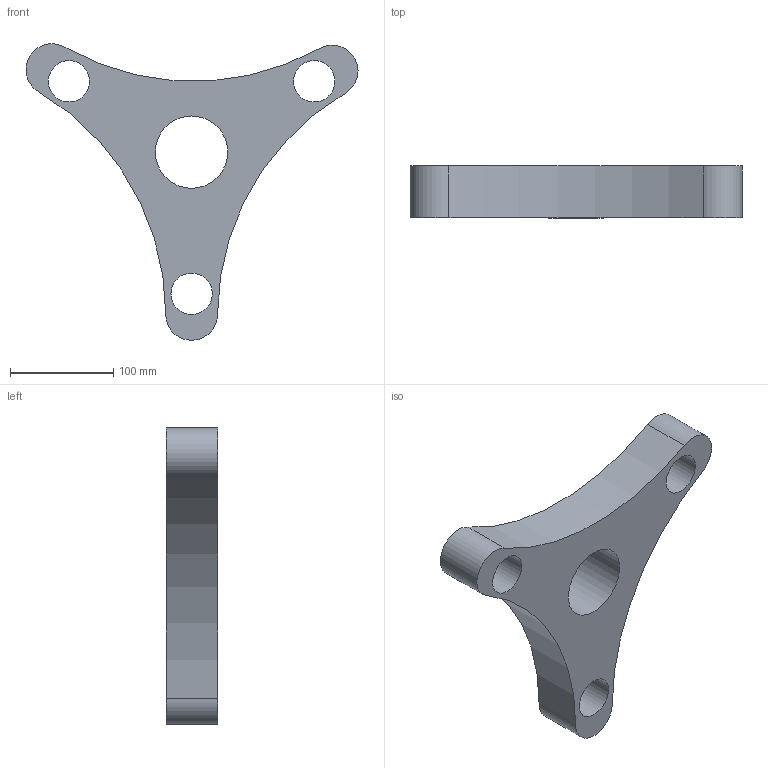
import cadquery as cq
import math

THICKNESS = 50.0
END_RADIUS = 25.0
END_CENTER_DISTANCE = 157.0
HUB_HOLE_DIAMETER = 70.0
ARM_HOLE_DIAMETER = 40.0
HOLE_INSET = 20.0
SIDE_RADIUS = 250.0
LEFT_ARM_TILT = 0.57

RIGHT_ANGLE = 30.0
LEFT_ANGLE = 150.0
BOTTOM_ANGLE = 270.0
HOLE_ANGLES = (RIGHT_ANGLE, LEFT_ANGLE, BOTTOM_ANGLE)
ARM_ANGLES = (RIGHT_ANGLE, LEFT_ANGLE - LEFT_ARM_TILT, BOTTOM_ANGLE)

HOLE_CIRCLE_RADIUS = END_CENTER_DISTANCE - HOLE_INSET


def arm_point(angle, along, across=0.0):
    """Point at a distance along an arm and across it, counter-clockwise positive."""
    cosine = math.cos(math.radians(angle))
    sine = math.sin(math.radians(angle))
    return (along * cosine - across * sine, along * sine + across * cosine)


def make_plate():
    """Three-armed plate: a half round at each tip, hollow arcs between the arms."""
    start = arm_point(ARM_ANGLES[0], END_CENTER_DISTANCE, -END_RADIUS)
    outline = cq.Workplane("XZ").moveTo(*start)
    following_angles = ARM_ANGLES[1:] + ARM_ANGLES[:1]
    for angle, next_angle in zip(ARM_ANGLES, following_angles):
        tip = arm_point(angle, END_CENTER_DISTANCE + END_RADIUS)
        tip_end = arm_point(angle, END_CENTER_DISTANCE, END_RADIUS)
        side_end = arm_point(next_angle, END_CENTER_DISTANCE, -END_RADIUS)
        outline = outline.threePointArc(tip, tip_end)
        outline = outline.radiusArc(side_end, SIDE_RADIUS)
    return outline.close().extrude(THICKNESS)


def make_holes():
    """Cutters for the hub hole and the hole in each arm, all right through."""
    hole_centers = [arm_point(angle, HOLE_CIRCLE_RADIUS) for angle in HOLE_ANGLES]
    hub_hole = cq.Workplane("XZ").circle(HUB_HOLE_DIAMETER / 2).extrude(THICKNESS)
    arm_holes = (
        cq.Workplane("XZ")
        .pushPoints(hole_centers)
        .circle(ARM_HOLE_DIAMETER / 2)
        .extrude(THICKNESS)
    )
    return hub_hole.union(arm_holes)


result = make_plate().cut(make_holes())